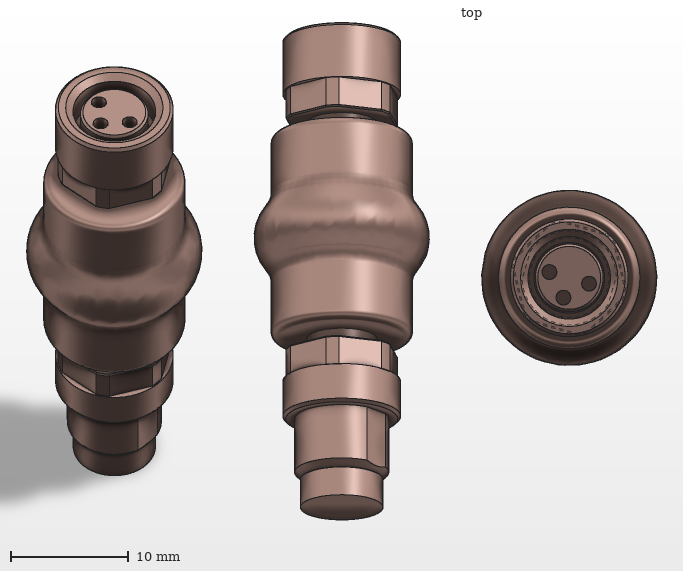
import cadquery as cq
import math

total_length = 41.7
key_angle = 163.7
stem_radius = 3.0
nut_gap = 1.2

housing_bottom = 15.0
housing_length = 18.0
housing_radius = 6.0
housing_end_fillet = 0.65
bulge_diameter = 14.9
bulge_arc = 4.0
bulge_blend = 2.0
bulge_radius = bulge_diameter / 2
housing_top = housing_bottom + housing_length
housing_middle = housing_bottom + housing_length / 2

collar_radius = 5.0
collar_chamfer = 0.25
hex_across_flats = 8.95
hex_corner_radius = 4.88
hex_height = 2.6
hex_edge_chamfer = 0.13

socket_nut_bottom = housing_top + nut_gap
socket_bore_radius = 3.5
socket_mouth_radius = 4.13
socket_mouth_depth = 0.45
socket_depth = 2.95

core_radius = 2.88
core_recess = 0.6
core_chamfer = 0.2
contact_circle_radius = 1.75
contact_hole_radius = 0.63
contact_hole_depth = 2.5
contact_bearings = (0, 90, 180)

plug_nut_top = housing_bottom - nut_gap
plug_collar_bottom = 7.9
thread_radius = 4.0
thread_chamfer = 0.63
thread_flat_width = 2.5

plug_tip_radius = 3.5
plug_tip_length = 2.5


def cylinder(radius, bottom, top):
    return cq.Workplane("XY").workplane(offset=bottom).circle(radius).extrude(top - bottom)


def make_hex_grip(bottom, chamfered_end):
    """Hexagonal grip with rounded corners and a small chamfer around one end face."""
    across_corners = hex_across_flats / math.cos(math.radians(30))
    hexagon = (
        cq.Workplane("XY")
        .workplane(offset=bottom)
        .polygon(6, across_corners)
        .extrude(hex_height)
    )
    grip = hexagon.intersect(cylinder(hex_corner_radius, bottom, bottom + hex_height))
    return grip.faces(chamfered_end).chamfer(hex_edge_chamfer)


def make_housing():
    """Sleeve turned about Z; the bulge arc runs tangent into a hollow blend on each side."""
    bulge_centre = bulge_radius - bulge_arc
    blend_centre = housing_radius + bulge_blend
    lean = math.acos((blend_centre - bulge_centre) / (bulge_arc + bulge_blend))
    blend_start = (bulge_arc + bulge_blend) * math.sin(lean)
    tangent_radius = bulge_centre + bulge_arc * math.cos(lean)
    tangent_height = bulge_arc * math.sin(lean)
    blend_middle_radius = blend_centre - bulge_blend * math.cos(lean / 2)
    blend_middle_height = blend_start - bulge_blend * math.sin(lean / 2)
    half_length = housing_length / 2
    profile = (
        cq.Workplane("XZ")
        .moveTo(0, -half_length)
        .lineTo(housing_radius, -half_length)
        .lineTo(housing_radius, -blend_start)
        .threePointArc((blend_middle_radius, -blend_middle_height), (tangent_radius, -tangent_height))
        .threePointArc((bulge_radius, 0), (tangent_radius, tangent_height))
        .threePointArc((blend_middle_radius, blend_middle_height), (housing_radius, blend_start))
        .lineTo(housing_radius, half_length)
        .lineTo(0, half_length)
        .close()
    )
    sleeve = profile.revolve(360, (0, 0, 0), (0, 1, 0)).translate((0, 0, housing_middle))
    return sleeve.faces("<Z or >Z").edges().fillet(housing_end_fillet)


def make_socket_nut():
    """Nut with a wide socket and a tapered mouth at the top, and a bore for the stem below."""
    collar = cylinder(collar_radius, socket_nut_bottom + hex_height, total_length)
    collar = collar.faces(">Z").chamfer(collar_chamfer)
    nut = collar.union(make_hex_grip(socket_nut_bottom, "<Z"))
    mouth = (
        cq.Workplane("XY")
        .workplane(offset=total_length)
        .circle(socket_mouth_radius)
        .workplane(offset=-socket_mouth_depth)
        .circle(socket_bore_radius)
        .loft()
    )
    socket = cylinder(socket_bore_radius, total_length - socket_depth, total_length)
    stem_bore = cylinder(stem_radius, socket_nut_bottom, total_length)
    return nut.cut(mouth).cut(socket).cut(stem_bore)


def make_socket_insert():
    """Stem standing on the housing, carrying a slimmer core with the contact holes."""
    core_top = total_length - core_recess
    core = cylinder(core_radius, housing_top, core_top).faces(">Z").chamfer(core_chamfer)
    insert = core.union(cylinder(stem_radius, housing_top, total_length - socket_depth))
    for bearing in contact_bearings:
        x = contact_circle_radius * math.cos(math.radians(bearing))
        y = contact_circle_radius * math.sin(math.radians(bearing))
        hole = cylinder(contact_hole_radius, core_top - contact_hole_depth, core_top)
        insert = insert.cut(hole.translate((x, y, 0)))
    return insert


def make_plug_nut():
    """Nut with a plain threaded barrel below the collar, flattened on two opposite sides."""
    collar = cylinder(collar_radius, plug_collar_bottom, plug_nut_top - hex_height)
    collar = collar.faces("<Z").chamfer(collar_chamfer)
    flat_distance = math.sqrt(thread_radius**2 - (thread_flat_width / 2) ** 2)
    barrel_length = plug_collar_bottom - plug_tip_length
    slab = (
        cq.Workplane("XY")
        .workplane(offset=plug_tip_length)
        .rect(2 * flat_distance, 2 * thread_radius)
        .extrude(barrel_length)
    )
    barrel = cylinder(thread_radius, plug_tip_length, plug_collar_bottom)
    barrel = barrel.faces("<Z").chamfer(thread_chamfer).intersect(slab)
    nut = collar.union(make_hex_grip(plug_nut_top - hex_height, ">Z")).union(barrel)
    return nut.cut(cylinder(stem_radius, plug_tip_length, plug_nut_top))


def make_plug_insert():
    """Stem reaching down from the housing to a wider round tip below the plug nut."""
    tip = cylinder(plug_tip_radius, 0, plug_tip_length)
    return tip.union(cylinder(stem_radius, plug_tip_length, housing_bottom))


def turned_solid(body):
    """The body's solid, turned about Z to its final bearing."""
    return body.rotate((0, 0, 0), (0, 0, 1), key_angle).solids().val()


housing = turned_solid(make_housing())
socket_nut = turned_solid(make_socket_nut())
socket_insert = turned_solid(make_socket_insert())
plug_nut = turned_solid(make_plug_nut())
plug_insert = turned_solid(make_plug_insert())

result = cq.Compound.makeCompound([housing, socket_nut, socket_insert, plug_nut, plug_insert])